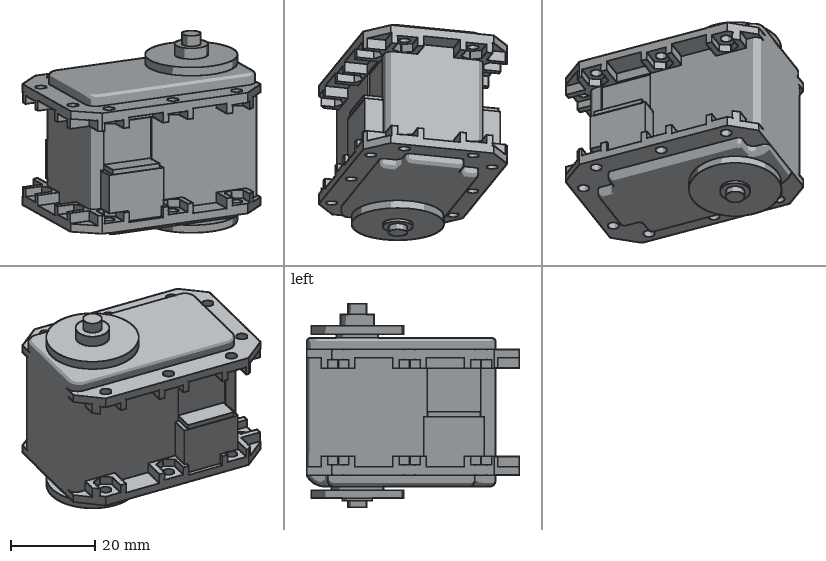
import cadquery as cq
import math


total_length = 50.6
back_y = 12.05
front_y = back_y - total_length

case_width = 24.4
case_length = 45.0
case_corner_radius = 2.0
case_half_height = 17.7
case_front_y = back_y - case_length
case_mid_y = (back_y + case_front_y) / 2

top_lid_corner_radius = 3.0
top_lid_edge_radius = 1.0
bottom_lid_edge_radius = 1.5
bottom_lid_back_radius = 5.0
notch_size = 5.0
notch_inner_radius = 2.0
notch_outer_radius = 1.0

flange_width = 35.6
flange_outer_z = 15.0
flange_height = 4.5
flange_inner_z = flange_outer_z - flange_height
plate_thickness = 1.95
plate_inner_z = flange_outer_z - plate_thickness
flange_corner_x = 5.05
flange_corner_y = 5.95

hole_diameter = 2.7
hole_edge_distance = 2.8
hole_spacing = 17.0
holes_per_side = 3
first_hole_from_back = 7.5
block_width = 8.0
nut_across_flats = 5.0
nut_seat_thickness = 2.5
side_hole_x = flange_width / 2 - hole_edge_distance
front_hole_y = front_y + hole_edge_distance

connector_mid_y = -23.0
connector_length = 14.45
connector_top_z = -1.0
connector_reach = 16.8
step_length = 12.4
step_height = 1.15
step_reach = 16.65
recess_length = 12.75
recess_depth = 0.5

top_steps = [(10.0, 18.5), (22.0, 20.6), (8.0, 23.3), (4.5, 25.85)]
bottom_steps = [(12.5, -18.5), (22.0, -20.45), (7.2, -21.1), (4.5, -22.6)]


def slab(x_range, y_range, z_range):
    """Axis-aligned block between pairs of limits."""
    size = [end - start for start, end in (x_range, y_range, z_range)]
    corner = (x_range[0], y_range[0], z_range[0])
    return cq.Workplane("XY").box(*size, centered=False).translate(corner)


def centered(middle, length):
    """Limits of a span of the given length about its middle."""
    return (middle - length / 2, middle + length / 2)


def prism_between(outline, z_start, z_end):
    """Outline extruded from one height to another."""
    return outline.extrude(z_end - z_start).translate((0, 0, z_start))



def case_block(z_start, z_end, corner_radius):
    outline = cq.Workplane("XY").center(0, case_mid_y).rect(case_width, case_length)
    return prism_between(outline, z_start, z_end).edges("|Z").fillet(corner_radius)


def main_case():
    case = case_block(-flange_outer_z, flange_outer_z, case_corner_radius)
    recess_x = (case_width / 2 - recess_depth, case_width / 2)
    recess = slab(recess_x, centered(connector_mid_y, recess_length), (connector_top_z, flange_inner_z))
    return case.cut(recess).cut(recess.mirror("YZ"))


def top_lid():
    lid = case_block(flange_inner_z, case_half_height, top_lid_corner_radius)
    return lid.faces(">Z").edges().fillet(top_lid_edge_radius)


def upright_edges(lid, corner_x, corner_y):
    """Vertical lid edges at the given distance from the YZ plane and the given Y."""
    search_reach = 0.05
    edges = []
    for side in (-1, 1):
        around = cq.selectors.BoxSelector(
            (side * corner_x - search_reach, corner_y - search_reach, -case_half_height),
            (side * corner_x + search_reach, corner_y + search_reach, 0),
        )
        edges += lid.edges("|Z").edges(around).vals()
    return lid.newObject(edges)


def bottom_lid():
    """Lid with a notch at each corner and a large round along its lower back edge."""
    half_width = case_width / 2
    round_center_z = bottom_lid_back_radius - case_half_height
    rise = round_center_z + flange_outer_z
    overhang = bottom_lid_back_radius - math.sqrt(bottom_lid_back_radius**2 - rise**2)
    blank_back_y = back_y + overhang
    trim_margin = 0.5
    blank_top_z = round_center_z + trim_margin
    width_range = (-half_width, half_width)
    height_range = (-case_half_height, blank_top_z)

    lid = slab(width_range, (case_front_y, blank_back_y), height_range)
    lid = lid.edges(">Y and <Z").fillet(bottom_lid_back_radius)

    notch_x = half_width - notch_size
    front_notch_y = case_front_y + notch_size
    back_notch_y = back_y - notch_size
    for y_range in ((case_front_y, front_notch_y), (back_notch_y, blank_back_y)):
        notch = slab((notch_x, half_width), y_range, height_range)
        lid = lid.cut(notch).cut(notch.mirror("YZ"))

    back_seam = lid.faces("<Z").edges(">Y").val()
    rim = [edge for edge in lid.faces("<Z").edges().vals() if not edge.isSame(back_seam)]
    lid = lid.newObject(rim).fillet(bottom_lid_edge_radius)

    for corner_x, corner_y, radius in (
        (notch_x, front_notch_y, notch_inner_radius),
        (notch_x, back_notch_y, notch_inner_radius),
        (notch_x, case_front_y, notch_outer_radius),
        (half_width, front_notch_y, notch_outer_radius),
        (half_width, back_notch_y, notch_outer_radius),
    ):
        lid = upright_edges(lid, corner_x, corner_y).fillet(radius)

    keep = slab(width_range, (case_front_y, back_y), (-case_half_height, -flange_outer_z))
    return lid.intersect(keep)



def flange_outline():
    half_width = flange_width / 2
    narrow = half_width - flange_corner_x
    side_points = [
        (narrow, front_y),
        (half_width, front_y + flange_corner_y),
        (half_width, back_y - flange_corner_y),
        (narrow, back_y),
    ]
    mirrored_points = [(-x, y) for x, y in reversed(side_points)]
    return cq.Workplane("XY").polyline(side_points + mirrored_points).close()


def hole_stations():
    """Hole centers, each with the outward direction (dx, dy) of its block."""
    stations = []
    for side in (-1, 1):
        for row in range(holes_per_side):
            y = back_y - first_hole_from_back - row * hole_spacing
            stations.append((side * side_hole_x, y, side, 0))
        stations.append((side * hole_spacing / 2, front_hole_y, 0, -1))
    return stations


def hole_prism(outline, station, z_start, z_end):
    """Outline drawn with +X pointing outwards, placed at a hole."""
    x, y, dx, dy = station
    turn = math.degrees(math.atan2(dy, dx))
    prism = prism_between(outline, z_start, z_end)
    return prism.rotate((0, 0, 0), (0, 0, 1), turn).translate((x, y, 0))


def screw_cut(station):
    """Screw hole with a hexagonal nut seat, corner towards the case, open at the flange edge."""
    half_flats = nut_across_flats / 2
    corner_distance = nut_across_flats / math.sqrt(3)
    seat_outline = cq.Workplane("XY").polyline([
        (-corner_distance, 0),
        (-corner_distance / 2, -half_flats),
        (hole_edge_distance, -half_flats),
        (hole_edge_distance, half_flats),
        (-corner_distance / 2, half_flats),
    ]).close()
    seat = hole_prism(seat_outline, station, flange_inner_z, flange_outer_z - nut_seat_thickness)
    hole_outline = cq.Workplane("XY").circle(hole_diameter / 2)
    return seat.union(hole_prism(hole_outline, station, flange_inner_z, flange_outer_z))


def cut_screws(solid):
    for station in hole_stations():
        solid = solid.cut(screw_cut(station))
    return solid


def top_flange_blank():
    flange = prism_between(flange_outline(), plate_inner_z, flange_outer_z)
    envelope = prism_between(flange_outline(), flange_inner_z, flange_outer_z)
    overhang = (flange_width - case_width) / 2
    block_length = hole_edge_distance + overhang
    for station in hole_stations():
        block_outline = cq.Workplane("XY").center(hole_edge_distance - block_length / 2, 0)
        block_outline = block_outline.rect(block_length, block_width)
        block = hole_prism(block_outline, station, flange_inner_z, plate_inner_z)
        flange = flange.union(block.intersect(envelope))
    return flange



def connector():
    inner_x = case_width / 2 - recess_depth
    body = slab(
        (inner_x, connector_reach),
        centered(connector_mid_y, connector_length),
        (-plate_inner_z, connector_top_z),
    )
    step = slab(
        (inner_x, step_reach),
        centered(connector_mid_y, step_length),
        (connector_top_z, connector_top_z + step_height),
    )
    return body.union(step)


def shaft(steps, start_z):
    """Stack of coaxial discs, each starting where the one before it ends."""
    stack = cq.Workplane("XY")
    for diameter, end_z in steps:
        stack = stack.union(prism_between(cq.Workplane("XY").circle(diameter / 2), start_z, end_z))
        start_z = end_z
    return stack



flange_blank = top_flange_blank()
side_connector = connector()
top_flange = cut_screws(flange_blank)

connectors = side_connector.union(side_connector.mirror("YZ"))
bottom_flange = cut_screws(flange_blank.union(connectors.mirror("XY"))).mirror("XY")

result = (
    main_case()
    .union(top_flange)
    .union(bottom_flange)
    .union(top_lid())
    .union(bottom_lid())
    .union(shaft(top_steps, case_half_height))
    .union(shaft(bottom_steps, -case_half_height))
)